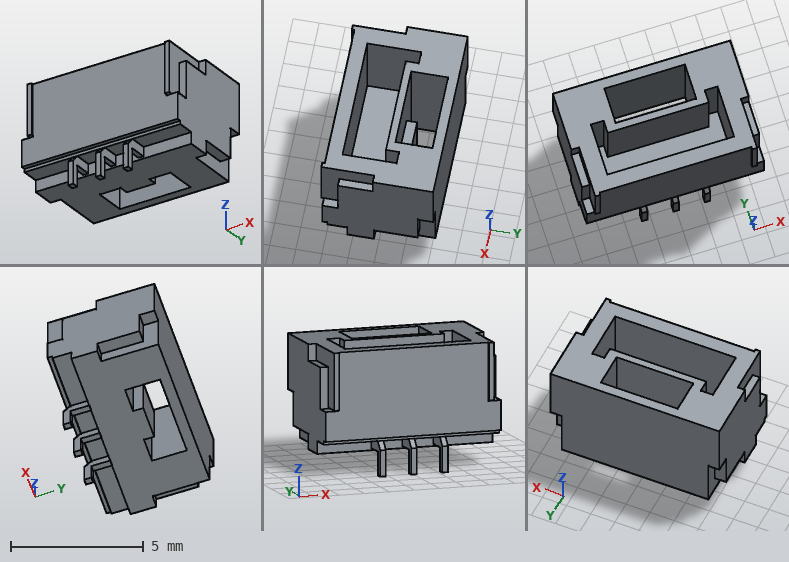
import cadquery as cq

width = 7.0
depth = 4.25
height = 4.03
wall_draft = 0.03

foot_front = 0.95
shelf_height = 0.5
lip_depth = 0.19
lip_height = 0.64

cavity_width = 5.0
cavity_front = 0.59
cavity_back = 2.155
ear_back = 2.66
ear_width = 0.505
cavity_floor = 1.0

window_width = 3.18
window_front = 2.44
window_back = 3.86
catch_width = 1.29
catch_depth = 0.405
catch_height = 2.015

recess_depth = 0.505
recess_length = 1.93
recess_top_band = 0.645
recess_front_band = 0.595
recess_drop = 2.25
tab_thickness = 0.195
tab_drop = 2.2
tab_overhang = 0.1

notch_band = 0.595
notch_depth = 0.46
notch_front = 1.98
notch_height = 1.88

pin_count = 3
pin_pitch = 1.24
pin_width = 0.225
pin_bottom = 0.09
pin_bend_height = 0.19
pin_drop = 0.82


def block(x_range, y_range, z_range):
    """Axis-aligned box spanning the given (low, high) ranges."""
    spans = (x_range, y_range, z_range)
    sizes = [high - low for low, high in spans]
    corner = tuple(low for low, _ in spans)
    return cq.Workplane("XY").box(*sizes, centered=False).translate(corner)


def centered_block(span, y_range, z_range):
    """Box centred across the width of the housing."""
    return block(((width - span) / 2, (width + span) / 2), y_range, z_range)


def side_profile(points, x_start, thickness):
    """Extrude a (Y, Z) outline along +X from x_start."""
    return cq.Workplane("YZ", origin=(x_start, 0, 0)).polyline(points).close().extrude(thickness)


def both_sides(left):
    """Join a left-hand shape and its mirror about the middle of the width."""
    return left.union(left.mirror("YZ", (width / 2, 0, 0)))


def drafted_back(span, front, back, floor):
    """Pocket whose rear wall leans slightly forward toward the floor."""
    outline = [(front, floor), (back - wall_draft, floor), (back, height), (front, height)]
    return side_profile(outline, (width - span) / 2, span)


def housing():
    outline = [
        (foot_front, 0),
        (depth, 0),
        (depth, height),
        (0, height),
        (0, lip_height),
        (lip_depth, lip_height),
        (lip_depth, shelf_height),
        (foot_front, shelf_height),
    ]
    return side_profile(outline, 0, width)


def contact_cavity():
    ears = drafted_back(cavity_width, cavity_front, ear_back, cavity_floor)
    tongue = centered_block(cavity_width - 2 * ear_width, (cavity_back, depth), (0, height))
    return ears.cut(tongue)


def latch_window():
    window = drafted_back(window_width, window_front, window_back, 0)
    catch = centered_block(catch_width, (window_front, window_front + catch_depth), (0, catch_height))
    return window.cut(catch)


def upper_l(front, drop, x_start, thickness):
    """L shape running back along the top and down along the front of a side."""
    outline = [
        (front, height),
        (recess_length, height),
        (recess_length, height - recess_top_band),
        (recess_front_band, height - recess_top_band),
        (recess_front_band, height - drop),
        (front, height - drop),
    ]
    return side_profile(outline, x_start, thickness)


def rear_notches():
    outline = [
        (notch_front, 0),
        (depth, 0),
        (depth, notch_height),
        (depth - notch_band, notch_height),
        (depth - notch_band, notch_band),
        (notch_front, notch_band),
    ]
    return both_sides(side_profile(outline, 0, notch_depth))


def pin(x_center):
    outline = [
        (foot_front, pin_bottom),
        (foot_front, shelf_height),
        (lip_depth, shelf_height),
        (-tab_overhang, pin_bend_height),
        (-tab_overhang, -pin_drop),
        (lip_depth, -pin_drop),
        (lip_depth, pin_bottom),
    ]
    return side_profile(outline, x_center - pin_width / 2, pin_width)


side_recesses = both_sides(upper_l(0, recess_drop, 0, recess_depth))
tabs = both_sides(upper_l(-tab_overhang, tab_drop, recess_depth - tab_thickness, tab_thickness))

result = housing().cut(contact_cavity()).cut(latch_window()).cut(rear_notches())
result = result.cut(side_recesses).union(tabs)
for index in range(pin_count):
    offset = (index - (pin_count - 1) / 2) * pin_pitch
    result = result.union(pin(width / 2 + offset))